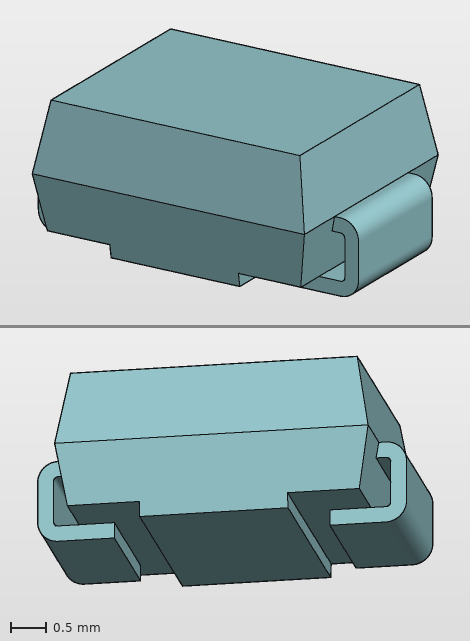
import cadquery as cq
import math

overall_length = 5.3
body_width = 3.62
overall_height = 2.28

body_length = 4.505
parting_height = 1.185
draft_angle = 10.0
standoff = 0.09
notch_roof_height = 0.3
pedestal_length = 2.13

lead_width = 1.995
lead_thickness = 0.23
lead_outer_radius = 0.295
lead_inner_radius = lead_outer_radius - lead_thickness
lead_foot_length = 1.1
lead_embed = 0.21


def tapered_half(height):
    """Half of the body, from the parting plane to a signed height above it."""
    inset = 2 * abs(height) * math.tan(math.radians(draft_angle))
    return (
        cq.Workplane("XY", origin=(0, 0, parting_height))
        .rect(body_length, body_width)
        .workplane(offset=height)
        .rect(body_length - inset, body_width - inset)
        .loft(ruled=True)
    )


def make_body():
    upper = tapered_half(overall_height - parting_height)
    lower = tapered_half(standoff - parting_height)
    body = upper.union(lower)
    notch_length = (overall_length - pedestal_length) / 2
    for side in (-1, 1):
        notch = cq.Workplane("XY").box(
            notch_length, body_width, notch_roof_height, centered=(True, True, False)
        )
        notch_center = side * (pedestal_length + notch_length) / 2
        body = body.cut(notch.translate((notch_center, 0, 0)))
    return body


def make_left_lead():
    """C-shaped strip that leaves the body at the parting plane and folds under it."""
    outer_x = -overall_length / 2
    inner_x = outer_x + lead_thickness
    foot_end_x = outer_x + lead_foot_length
    root_x = -body_length / 2 + lead_embed
    strip_top = parting_height
    strip_underside = strip_top - lead_thickness

    outer_bends = (
        cq.Workplane("XZ")
        .moveTo(root_x, strip_top)
        .lineTo(outer_x + lead_outer_radius, strip_top)
        .radiusArc((outer_x, strip_top - lead_outer_radius), -lead_outer_radius)
        .lineTo(outer_x, lead_outer_radius)
        .radiusArc((outer_x + lead_outer_radius, 0), -lead_outer_radius)
        .lineTo(foot_end_x, 0)
    )
    profile = (
        outer_bends
        .lineTo(foot_end_x, lead_thickness)
        .lineTo(inner_x + lead_inner_radius, lead_thickness)
        .radiusArc((inner_x, lead_thickness + lead_inner_radius), lead_inner_radius)
        .lineTo(inner_x, strip_underside - lead_inner_radius)
        .radiusArc((inner_x + lead_inner_radius, strip_underside), lead_inner_radius)
        .lineTo(root_x, strip_underside)
        .close()
    )
    return profile.extrude(lead_width / 2, both=True)


left_lead = make_left_lead()
right_lead = left_lead.mirror("YZ")
result = make_body().union(left_lead).union(right_lead)